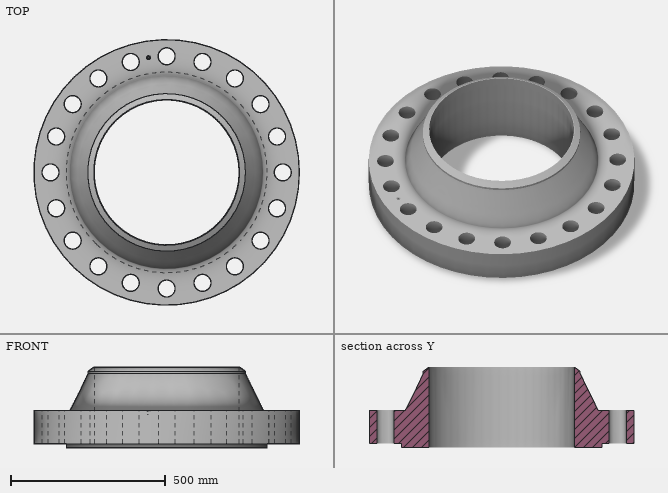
import cadquery as cq
import math

flange_diameter = 857.0
flange_thickness = 108.0
face_diameter = 648.0
face_height = 13.0

total_height = 260.5
hub_base_diameter = 624.0
neck_diameter = 508.0
neck_straight_height = 8.0
base_fillet_radius = 2.5
bevel_height = 14.0
bevel_top_diameter = 470.5
bore_diameter = 467.0

bolt_count = 20
bolt_hole_diameter = 54.0
bolt_circle_diameter = 749.0

countersink_diameter = 13.0
drill_diameter = 7.0
drill_depth = 13.0
bolt_pitch_angle = 360 / bolt_count
drill_angle = 90 + bolt_pitch_angle / 2

flange_top = face_height + flange_thickness
bevel_bottom = total_height - bevel_height
hub_top = bevel_bottom - neck_straight_height

hub_base_radius = hub_base_diameter / 2
slope = math.atan2(hub_base_radius - neck_diameter / 2, hub_top - flange_top)
base_fillet_setback = base_fillet_radius * math.tan((math.pi / 2 - slope) / 2)
base_fillet_outer_radius = hub_base_radius + base_fillet_setback
base_fillet_inner_radius = hub_base_radius - base_fillet_setback * math.sin(slope)
base_fillet_top = flange_top + base_fillet_setback * math.cos(slope)


def revolved_body():
    """Half section from the bore outwards, turned around the Z axis."""
    profile = (
        cq.Workplane("XZ")
        .moveTo(bore_diameter / 2, 0)
        .lineTo(face_diameter / 2, 0)
        .lineTo(face_diameter / 2, face_height)
        .lineTo(flange_diameter / 2, face_height)
        .lineTo(flange_diameter / 2, flange_top)
        .lineTo(base_fillet_outer_radius, flange_top)
        .radiusArc((base_fillet_inner_radius, base_fillet_top), base_fillet_radius)
        .lineTo(neck_diameter / 2, hub_top)
        .lineTo(neck_diameter / 2, bevel_bottom)
        .lineTo(bevel_top_diameter / 2, total_height)
        .lineTo(bore_diameter / 2, total_height)
        .close()
    )
    return profile.revolve(360, (0, 0, 0), (0, 1, 0))


def bolt_holes():
    """Through holes evenly spaced on the bolt circle."""
    return (
        cq.Workplane("XY")
        .polarArray(bolt_circle_diameter / 2, 0, 360, bolt_count)
        .circle(bolt_hole_diameter / 2)
        .extrude(flange_top)
    )


def drilled_hole():
    """Small flat-bottomed blind hole with a 90 degree countersink at the flange top."""
    angle = math.radians(drill_angle)
    pitch_radius = bolt_circle_diameter / 2
    countersink_depth = (countersink_diameter - drill_diameter) / 2
    profile = [
        (0, flange_top),
        (countersink_diameter / 2, flange_top),
        (drill_diameter / 2, flange_top - countersink_depth),
        (drill_diameter / 2, flange_top - drill_depth),
        (0, flange_top - drill_depth),
    ]
    hole = cq.Workplane("XZ").polyline(profile).close().revolve(360, (0, 0, 0), (0, 1, 0))
    return hole.translate((pitch_radius * math.cos(angle), pitch_radius * math.sin(angle), 0))


result = revolved_body().cut(bolt_holes()).cut(drilled_hole())